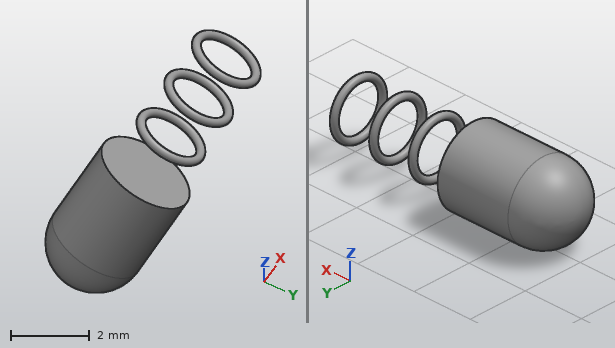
import cadquery as cq

total_length = 8.0
plunger_diameter = 2.6
plunger_length = 3.8
ring_outer_diameter = 2.0
ring_wire_diameter = 0.24
ring_pitch = 1.4
ring_count = 3

plunger_radius = plunger_diameter / 2
ring_wire_radius = ring_wire_diameter / 2
ring_mean_radius = ring_outer_diameter / 2 - ring_wire_radius
last_ring_x = total_length - ring_wire_radius


def make_plunger():
    """Round pin with a hemispherical nose at X = 0 and a flat rear face."""
    diagonal = plunger_radius * 0.5 ** 0.5
    nose_middle = (plunger_radius - diagonal, diagonal)
    profile = (
        cq.Workplane("XY")
        .moveTo(0, 0)
        .threePointArc(nose_middle, (plunger_radius, plunger_radius))
        .lineTo(plunger_length, plunger_radius)
        .lineTo(plunger_length, 0)
        .close()
    )
    return profile.revolve(360, (0, 0, 0), (1, 0, 0)).val()


def make_ring(center_x):
    """Closed ring of round wire around the X axis."""
    return cq.Solid.makeTorus(
        ring_mean_radius,
        ring_wire_radius,
        cq.Vector(center_x, 0, 0),
        cq.Vector(1, 0, 0),
    )


plunger = make_plunger()
rings = [make_ring(last_ring_x - index * ring_pitch) for index in range(ring_count)]

result = cq.Compound.makeCompound([plunger, *rings])